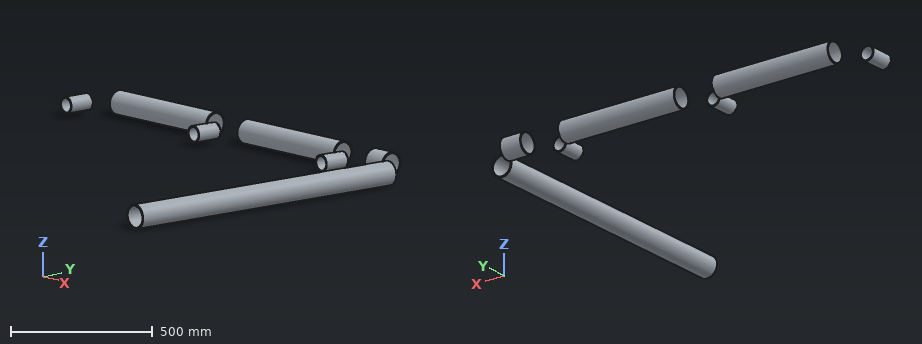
import cadquery as cq

overall_x = 1730.0
overall_y = 1337.0

main_diameter = 88.0
main_wall = 5.0
stub_diameter = 60.0
stub_wall = 4.3

long_length = 1181.0
segment_length = 515.0
end_length = 90.0
stub_length = 100.0

station_pitch = 685.0
segment_start_x = 115.0
stub_front_y = 1117.0
segment_count = 2
stub_count = 3

row_axis_y = overall_y - main_diameter / 2
long_axis_x = overall_x - main_diameter / 2
first_stub_x = stub_diameter / 2
end_start_x = segment_start_x + segment_count * station_pitch


def make_pipe(diameter, wall, length, start, direction):
    """Open pipe whose axis runs from the start point along the direction."""
    end_plane = cq.Plane(origin=start, xDir=(0, 0, 1), normal=direction)
    return (
        cq.Workplane(end_plane)
        .circle(diameter / 2)
        .circle(diameter / 2 - wall)
        .extrude(length)
    )


def make_row_pipe(length, start_x):
    """Main-size pipe lying along X in the rear row."""
    return make_pipe(main_diameter, main_wall, length, (start_x, row_axis_y, 0), (1, 0, 0))


def make_segment(index):
    """Long row pipe at the given station."""
    return make_row_pipe(segment_length, segment_start_x + index * station_pitch)


def make_end_piece():
    """Short row pipe at the last station."""
    return make_row_pipe(end_length, end_start_x)


def make_stub(index):
    """Small pipe along Y, in front of the row, at the given station."""
    stub_x = first_stub_x + index * station_pitch
    return make_pipe(stub_diameter, stub_wall, stub_length, (stub_x, stub_front_y, 0), (0, 1, 0))


def make_long_pipe():
    """Main-size pipe along Y at the right end."""
    return make_pipe(main_diameter, main_wall, long_length, (long_axis_x, 0, 0), (0, 1, 0))


segments = [make_segment(index) for index in range(segment_count)]
stubs = [make_stub(index) for index in range(stub_count)]
end_piece = make_end_piece()
long_pipe = make_long_pipe()

result = cq.Compound.makeCompound([
    *[segment.val() for segment in segments],
    *[stub.val() for stub in stubs],
    end_piece.val(),
    long_pipe.val(),
])